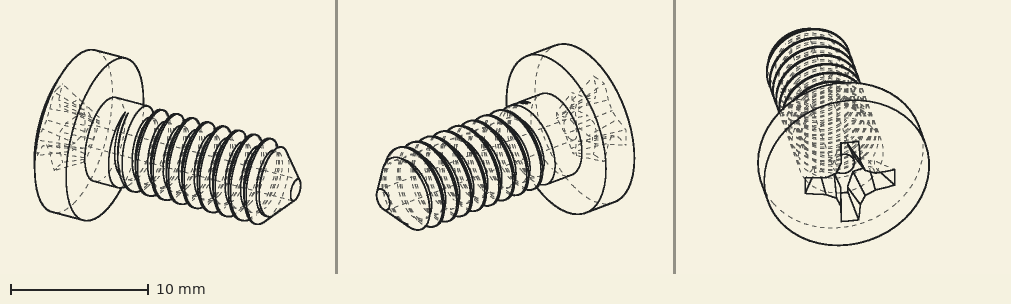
import cadquery as cq
import math

ORIGIN = (0, 0, 0)
X_AXIS = (1, 0, 0)
Y_AXIS = (0, 1, 0)
FULL_TURN = 360


HEAD_RADIUS = 6.1
RIM_HEIGHT = 2.575
CROWN_HEIGHT = 1.756
CROWN_RADIUS = (HEAD_RADIUS**2 + CROWN_HEIGHT**2) / (2 * CROWN_HEIGHT)
CROWN_APEX_X = -(RIM_HEIGHT + CROWN_HEIGHT)

MAJOR_RADIUS = 6.3 / 2
SHANK_LENGTH = 15.645
BORE_RADIUS = 0.805
POINT_LENGTH = MAJOR_RADIUS - BORE_RADIUS

PITCH = 1.27
FLANK_ANGLE = 30
CREST_WIDTH = PITCH / 8
GROOVE_DEPTH = 0.755
GROOVE_CLEARANCE = 0.06
ROOT_RADIUS = MAJOR_RADIUS - GROOVE_DEPTH
ROOT_X_BELOW_AXIS = 2.67
RUNOUT_TURN = 1 / 3
RUNOUT_START_ANGLE = 50
GROOVE_TURNS = 11
STRAIGHT_HELIX = 360

RECESS_DEPTH = 2.7
FLOOR_ARM_RADIUS = 2.2
FLOOR_SLOPE_ANGLE = 15
ARM_REACH = 3.56
ARM_HALF_WIDTH = 0.74
CORNER_OFFSET = 1.07
ARM_END_DRAFT = 26.5
ARM_SIDE_DRAFT = 10
CORNER_DRAFT = 7
CORNER_FLARE = 2.29


def crown_x(radius):
    """X of the spherical crown at a distance from the axis."""
    return CROWN_APEX_X + CROWN_RADIUS - math.sqrt(CROWN_RADIUS**2 - radius**2)


def make_blank():
    """Head, shank and point revolved about the X axis, with the bore left open."""
    middle_radius = HEAD_RADIUS / 2
    profile = (
        cq.Workplane("XY")
        .moveTo(crown_x(BORE_RADIUS), BORE_RADIUS)
        .threePointArc((crown_x(middle_radius), middle_radius), (-RIM_HEIGHT, HEAD_RADIUS))
        .lineTo(0, HEAD_RADIUS)
        .lineTo(0, MAJOR_RADIUS)
        .lineTo(SHANK_LENGTH - POINT_LENGTH, MAJOR_RADIUS)
        .lineTo(SHANK_LENGTH, BORE_RADIUS)
        .close()
    )
    return profile.revolve(FULL_TURN, ORIGIN, X_AXIS)


def recess_outline(depth):
    """Four-armed cross outline at a depth below the crown apex, as (Y, Z) points."""
    reach = ARM_REACH - depth * math.tan(math.radians(ARM_END_DRAFT))
    half_width = ARM_HALF_WIDTH - depth * math.tan(math.radians(ARM_SIDE_DRAFT))
    corner = CORNER_OFFSET - depth * math.tan(math.radians(CORNER_DRAFT))
    arm_root = corner + CORNER_FLARE * (corner - half_width)
    arm = [
        (arm_root, -half_width),
        (reach, -half_width),
        (reach, half_width),
        (arm_root, half_width),
        (corner, corner),
    ]
    points = []
    for _ in range(4):
        points += arm
        arm = [(-z, y) for y, z in arm]
    return points


def make_recess():
    """Drafted cross bounded below by a conical floor."""
    floor_slope = math.tan(math.radians(FLOOR_SLOPE_ANGLE))
    depth_on_axis = RECESS_DEPTH + FLOOR_ARM_RADIUS * floor_slope
    depth_at_bore = depth_on_axis - BORE_RADIUS * floor_slope
    depth_at_head_edge = depth_on_axis - HEAD_RADIUS * floor_slope
    cross = (
        cq.Workplane("YZ", origin=(CROWN_APEX_X, 0, 0))
        .polyline(recess_outline(0))
        .close()
        .workplane(offset=depth_at_bore)
        .polyline(recess_outline(depth_at_bore))
        .close()
        .loft(ruled=True)
    )
    above_floor = (
        cq.Workplane("XY", origin=(CROWN_APEX_X, 0, 0))
        .polyline([(0, 0), (0, HEAD_RADIUS), (depth_at_head_edge, HEAD_RADIUS), (depth_on_axis, 0)])
        .close()
        .revolve(FULL_TURN, ORIGIN, X_AXIS)
    )
    return cross.intersect(above_floor)


def helical_solid(turns, cone_angle=STRAIGHT_HELIX):
    """Groove section swept about Z from the +X side; a smaller cone angle widens it as it rises."""
    outer_radius = MAJOR_RADIUS + GROOVE_CLEARANCE
    flank_slope = math.tan(math.radians(FLANK_ANGLE))
    outer_half = (PITCH - CREST_WIDTH) / 2 + GROOVE_CLEARANCE * flank_slope
    root_half = (PITCH - CREST_WIDTH) / 2 - GROOVE_DEPTH * flank_slope
    section = [
        (ROOT_RADIUS, -root_half),
        (outer_radius, -outer_half),
        (outer_radius, outer_half),
        (ROOT_RADIUS, root_half),
    ]
    slant = 1 / math.cos(math.radians(cone_angle))
    helices = []
    for radius, height in section:
        helix = cq.Wire.makeHelix(
            PITCH * slant, turns * PITCH * slant, radius, cq.Vector(0, 0, height), angle=cone_angle
        )
        helices.append(helix.Edges()[0])
    faces = []
    for index, edge in enumerate(helices):
        faces.append(cq.Face.makeRuledSurface(helices[index - 1], edge))
    for end in (0, 1):
        corners = [edge.positionAt(end) for edge in helices]
        faces.append(cq.Face.makeFromWires(cq.Wire.makePolygon(corners, close=True)))
    return cq.Solid.makeSolid(cq.Shell.makeShell(faces))


def make_groove():
    """Full-depth groove, and the run-out that fades it into the plain shank."""
    runout_taper = math.degrees(math.atan(GROOVE_DEPTH / (RUNOUT_TURN * PITCH)))
    full_depth = helical_solid(GROOVE_TURNS)
    runout = helical_solid(RUNOUT_TURN, runout_taper).rotate(ORIGIN, X_AXIS, FULL_TURN / 2)
    start_x = ROOT_X_BELOW_AXIS - PITCH * RUNOUT_START_ANGLE / FULL_TURN
    return [
        part.rotate(ORIGIN, Y_AXIS, FULL_TURN / 4)
        .rotate(ORIGIN, X_AXIS, -RUNOUT_START_ANGLE)
        .translate((start_x, 0, 0))
        for part in (full_depth, runout)
    ]


screw = make_blank().cut(make_recess())
for groove_part in make_groove():
    screw = screw.cut(cq.Workplane(groove_part))
result = cq.Workplane(screw.solids().val())